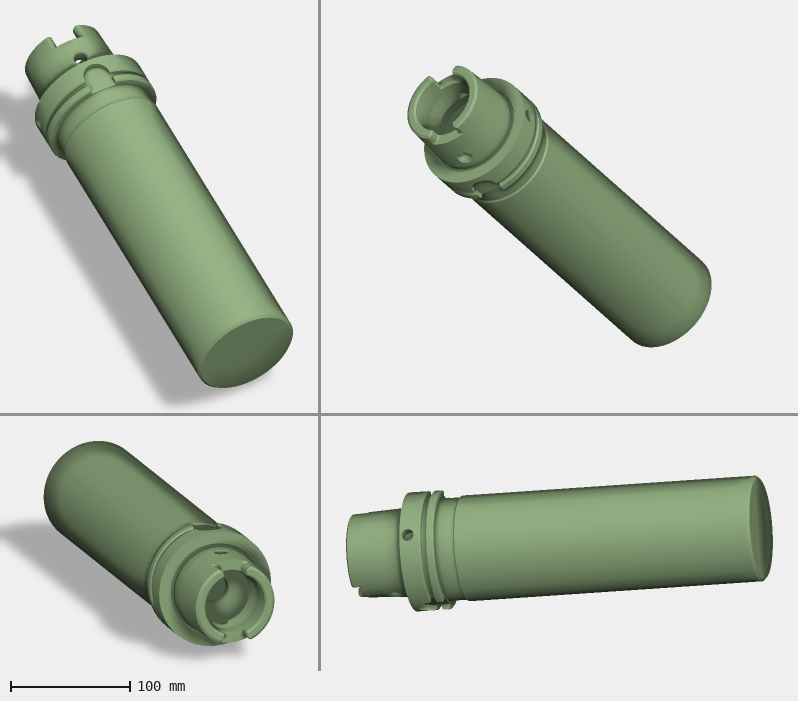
import cadquery as cq
import math


total_length = 350.0
shank_length = 50.0
tail_x = -shank_length
front_x = total_length - shank_length

taper_base_diameter = 75.2
taper_base_radius = taper_base_diameter / 2
taper_ratio = 0.1
tail_radius = taper_base_radius - shank_length * taper_ratio / 2
tail_chamfer_length = 1.5
tail_chamfer_height = 2.0
relief_length = 3.5
relief_depth = 0.7
face_recess_radius = 39.5
face_recess_depth = 1.0

bore_radius = 26.5
bore_chamfer = 1.5
bore_straight_length = 20.0
bore_cone_length = 15.0
lip_radius = 25.0
undercut_radius = 31.5
bore_depth = shank_length
coolant_radius = 12.0
coolant_depth = 7.0

slot_width = 20.0
slot_ledge_height = 32.0
slot_edge_radius = 5.0
slot_corner_radius = 1.5
slot_mouth_chamfer = 1.0
upper_slot_depth = 15.0
lower_slot_depth = 10.0

cross_hole_diameter = 11.2
cross_hole_x = -14.7
cross_hole_sink_diameter = 13.5

flange_radius = 50.0
flange_length = 29.0
groove_start_x = 16.8
groove_end_x = 23.0
groove_bottom_radius = 46.0
groove_fillet = 1.0
rim_chamfer = 1.0
neck_fillet = 0.7

keyway_width = 22.5
keyway_start_x = 5.2
keyway_floor_height = 44.0

chip_hole_diameter = 10.0
chip_hole_x = 7.0
chip_hole_depth = 10.0

neck_radius = 43.0
body_radius = 44.5
body_start_x = 44.5
body_step_chamfer = body_radius - neck_radius
body_end_chamfer = 2.0


def make_outer_body():
    """Revolve the outside contour from the tail to the free end."""
    relief_x = -relief_length
    relief_start_radius = taper_base_radius - relief_length * taper_ratio / 2
    relief_radius = relief_start_radius - relief_depth
    groove_wall_x = groove_start_x + rim_chamfer
    collar_wall_x = groove_end_x - rim_chamfer
    rim_edge_radius = flange_radius - rim_chamfer
    return (
        cq.Workplane("XY")
        .moveTo(tail_x, 0)
        .lineTo(tail_x, tail_radius - tail_chamfer_height)
        .lineTo(tail_x + tail_chamfer_length, tail_radius + tail_chamfer_length * taper_ratio / 2)
        .lineTo(relief_x, relief_start_radius)
        .lineTo(relief_x + relief_depth, relief_radius)
        .lineTo(face_recess_depth, relief_radius)
        .lineTo(face_recess_depth, face_recess_radius - face_recess_depth)
        .lineTo(0, face_recess_radius)
        .lineTo(0, flange_radius)
        .lineTo(groove_start_x, flange_radius)
        .lineTo(groove_wall_x, rim_edge_radius)
        .lineTo(groove_wall_x, groove_bottom_radius + groove_fillet)
        .radiusArc((groove_wall_x + groove_fillet, groove_bottom_radius), -groove_fillet)
        .lineTo(collar_wall_x - groove_fillet, groove_bottom_radius)
        .radiusArc((collar_wall_x, groove_bottom_radius + groove_fillet), -groove_fillet)
        .lineTo(collar_wall_x, rim_edge_radius)
        .lineTo(groove_end_x, flange_radius)
        .lineTo(flange_length - rim_chamfer, flange_radius)
        .lineTo(flange_length, rim_edge_radius)
        .lineTo(flange_length, neck_radius + neck_fillet)
        .radiusArc((flange_length + neck_fillet, neck_radius), -neck_fillet)
        .lineTo(body_start_x, neck_radius)
        .lineTo(body_start_x + body_step_chamfer, body_radius)
        .lineTo(front_x - body_end_chamfer, body_radius)
        .lineTo(front_x, body_radius - body_end_chamfer)
        .lineTo(front_x, 0)
        .close()
        .revolve(360, (0, 0, 0), (1, 0, 0))
    )


def make_bore():
    """Revolve the clamping bore with its lip, undercut and the coolant hole."""
    cone_start_x = tail_x + bore_straight_length
    lip_x = cone_start_x + bore_cone_length
    floor_x = tail_x + bore_depth
    contour = [
        (tail_x, 0),
        (tail_x, bore_radius + bore_chamfer),
        (tail_x + bore_chamfer, bore_radius),
        (cone_start_x, bore_radius),
        (lip_x, lip_radius),
        (lip_x + undercut_radius - lip_radius, undercut_radius),
        (floor_x, undercut_radius),
        (floor_x, coolant_radius),
        (floor_x + coolant_depth, coolant_radius),
        (floor_x + coolant_depth, 0),
    ]
    return cq.Workplane("XY").polyline(contour).close().revolve(360, (0, 0, 0), (1, 0, 0))


def draw_slot_profile(x):
    """Draw the upper slot outline at the given X, opening through rounded edges onto flat ledges."""
    half_width = slot_width / 2
    reach = taper_base_radius
    edge_y = half_width + slot_edge_radius
    edge_z = slot_ledge_height - slot_edge_radius
    bend = slot_edge_radius * (1 - math.sqrt(0.5))
    return (
        cq.Workplane("YZ", origin=(x, 0, 0))
        .moveTo(-half_width, 0)
        .lineTo(-half_width, edge_z)
        .threePointArc((-half_width - bend, slot_ledge_height - bend), (-edge_y, slot_ledge_height))
        .lineTo(-reach, slot_ledge_height)
        .lineTo(-reach, reach)
        .lineTo(reach, reach)
        .lineTo(reach, slot_ledge_height)
        .lineTo(edge_y, slot_ledge_height)
        .threePointArc((half_width + bend, slot_ledge_height - bend), (half_width, edge_z))
        .lineTo(half_width, 0)
        .close()
    )


def make_drive_slot(depth):
    """Build the upper drive slot with rounded corners at its end and a chamfered mouth."""
    slot = draw_slot_profile(tail_x).extrude(depth)
    slot = slot.faces(">X").edges("not(<Z or >Z or <Y or >Y)").fillet(slot_corner_radius)
    mouth = draw_slot_profile(tail_x + slot_mouth_chamfer).extrude(-slot_mouth_chamfer, taper=-45)
    return slot.union(mouth)


def make_cross_hole():
    """Revolve the radial hole through both shank walls, with a countersink at each mouth."""
    hole_radius = cross_hole_diameter / 2
    sink_radius = cross_hole_sink_diameter / 2
    mouth_z = taper_base_radius + cross_hole_x * taper_ratio / 2
    rim_z = math.sqrt(mouth_z**2 - sink_radius**2)
    sink_z = rim_z - (sink_radius - hole_radius)
    half_contour = [
        (0, 0),
        (hole_radius, 0),
        (hole_radius, sink_z),
        (sink_radius, rim_z),
        (sink_radius, flange_radius),
        (0, flange_radius),
    ]
    upper = cq.Workplane("XZ", origin=(cross_hole_x, 0, 0)).polyline(half_contour).close()
    upper = upper.revolve(360, (0, 0, 0), (0, 1, 0))
    return upper.union(turned_over(upper))


def make_keyway():
    """Build the upper keyway: a flat-floored cut with a round closed end, open past the flange."""
    end_radius = keyway_width / 2
    center_x = keyway_start_x + end_radius
    return (
        cq.Workplane("XY", origin=(0, 0, keyway_floor_height))
        .moveTo(flange_length, -end_radius)
        .lineTo(center_x, -end_radius)
        .threePointArc((keyway_start_x, 0), (center_x, end_radius))
        .lineTo(flange_length, end_radius)
        .close()
        .extrude(flange_radius)
    )


def make_chip_hole():
    """Build the blind radial hole in the -Y side of the flange rim."""
    return (
        cq.Workplane("XZ", origin=(chip_hole_x, chip_hole_depth - flange_radius, 0))
        .circle(chip_hole_diameter / 2)
        .extrude(flange_radius)
    )


def turned_over(shape):
    """Turn a cutter half a turn about the X axis, from the top to the bottom or back."""
    return shape.rotate((0, 0, 0), (1, 0, 0), 180)


result = make_outer_body().cut(make_bore())
result = result.cut(make_drive_slot(upper_slot_depth))
result = result.cut(turned_over(make_drive_slot(lower_slot_depth)))
result = result.cut(make_cross_hole())
for keyway in (make_keyway(), turned_over(make_keyway())):
    result = result.cut(keyway)
result = result.cut(make_chip_hole())